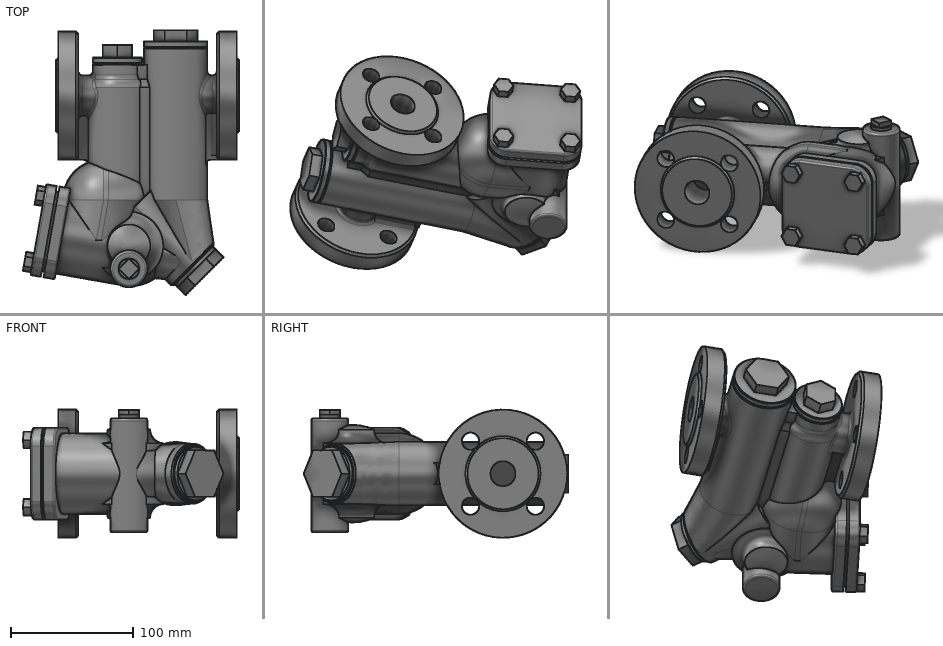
import cadquery as cq
import math

FACE_TO_FACE = 150.0
EMBED = 1.0

FLANGE_DIA = 105.0
FLANGE_THICKNESS = 16.5
FLANGE_EDGE_CHAMFER = 2.0
RAISED_FACE_DIA = 58.0
RAISED_FACE_BASE_DIA = 61.5
RAISED_FACE_HEIGHT = 2.0
BORE_DIA = 20.5
BORE_DEPTH = 35.0
BOLT_HOLE_DIA = 14.0
BOLT_CIRCLE_DIA = 75.0
BOLT_HOLE_COUNT = 4
NOZZLE_RADIUS = 16.8
NOZZLE_FILLET = 3.0

INLET_X = -24.6
INLET_RADIUS = 23.9
INLET_NECK_RADIUS = 20.2
INLET_TOP_Y = 25.2
INLET_NECK_Y = 17.0
INLET_SHOULDER_FILLET_Y = 13.6
INLET_SHOULDER_Y = 6.8
OUTLET_X = 23.0
OUTLET_RADIUS = 26.0
OUTLET_TOP_Y = 38.5
BEND_Y = -85.1

WEB_HALF_HEIGHT = 15.3
WEB_NECK_HALF_HEIGHT = 11.8
WEB_BOTTOM_Y = -82.0
INLET_RIB_HALF_HEIGHT = 3.0
OUTLET_RIB_HALF_HEIGHT = 8.8
RIB_FILLET = 4.0

PLUG_CHAMFER = 0.6
GASKET_HEIGHT = 1.0
INLET_PLUG_COLLAR = 5.1
INLET_PLUG_ACROSS_FLATS = 24.2
INLET_PLUG_HEAD = 10.2
OUTLET_PLUG_COLLAR = 5.2
OUTLET_PLUG_ACROSS_FLATS = 31.2
OUTLET_PLUG_HEAD = 8.87

TILT = math.radians(10)
CHAMBER_X = -13.7
CHAMBER_Y = -122.8
CHAMBER_RADIUS = 33.0
BEND_X = -34.2
BEND_SPREAD = 4.0
COVER_SIZE = 75.5
COVER_CORNER_RADIUS = 15.0
COVER_EDGE_FILLET = 1.5
BODY_FLANGE_START = 56.5
BODY_FLANGE_END = 65.8
COVER_START = 68.0
COVER_END = 76.8
BOLT_HEAD_END = 83.4
GASKET_SIZE = 66.0
BOLT_PITCH = 55.0
BOLT_ACROSS_FLATS = 13.8
BOLT_SHANK_DIA = 8.0

DOME_TOP = 40.0
DOME_RADIUS = 17.5
DOME_FOOT_RADIUS = 28.0
DOME_FOOT_HEIGHT = 25.0

NECK_END_X = 37.7
NECK_END_Y = -138.6
NECK_RADIUS = 24.6
NECK_LENGTH = 68.0
NECK_EDGE_CHAMFER = 1.2
BEND_INSET = 0.2
LINK_RADIUS = 23.4
LINK_LENGTH = 16.0
LINK_END = 8.0
STRAINER_GASKET_RADIUS = 22.0
STRAINER_GASKET_HEIGHT = 2.27
STRAINER_ACROSS_FLATS = 38.0
STRAINER_HEAD = 10.4

POST_X = -15.2
POST_Y = -141.5
POST_RADIUS = 15.2
POST_TOP = 45.4
POST_BOTTOM = -48.1
POST_FILLET = 2.0
POST_PLUG_DIA = 16.8
POST_PLUG_BASE = 2.6
POST_PLUG_HEIGHT = 6.7


def plane_at(x, y, direction):
    """Plane at (x, y, 0) facing `direction` in the XY plane, with its local X along +Z."""
    return cq.Plane(origin=(x, y, 0), xDir=(0, 0, 1), normal=(*direction, 0))


def cylinder(plane, radius, start, end):
    return cq.Workplane(plane).workplane(offset=start).circle(radius).extrude(end - start)


def hexagon(plane, across_flats, start, end, corner_on_z):
    across_corners = across_flats / math.cos(math.radians(30))
    turned = plane if corner_on_z else plane.rotated((0, 0, 30))
    return cq.Workplane(turned).workplane(offset=start).polygon(6, across_corners).extrude(end - start)


UP_THE_COLUMN = (0, 1)
CHAMBER_AXIS = (-math.cos(TILT), math.sin(TILT))
NECK_AXIS = (math.cos(math.pi / 4), -math.sin(math.pi / 4))

INLET_PLANE = plane_at(INLET_X, 0, UP_THE_COLUMN)
OUTLET_PLANE = plane_at(OUTLET_X, 0, UP_THE_COLUMN)
CHAMBER_PLANE = plane_at(CHAMBER_X, CHAMBER_Y, CHAMBER_AXIS)
NECK_PLANE = plane_at(NECK_END_X, NECK_END_Y, NECK_AXIS)
FLANGE_BACK_X = FACE_TO_FACE / 2 - RAISED_FACE_HEIGHT - FLANGE_THICKNESS


def inlet_column():
    """Stepped column turned about its axis, with an S-shaped shoulder below the neck."""
    fillet_share = (INLET_NECK_Y - INLET_SHOULDER_FILLET_Y) / (INLET_NECK_Y - INLET_SHOULDER_Y)
    fillet_radius = INLET_NECK_RADIUS + fillet_share * (INLET_RADIUS - INLET_NECK_RADIUS)
    profile = (
        cq.Workplane("XY")
        .moveTo(0, INLET_TOP_Y)
        .lineTo(INLET_NECK_RADIUS, INLET_TOP_Y)
        .lineTo(INLET_NECK_RADIUS, INLET_NECK_Y)
        .tangentArcPoint((fillet_radius, INLET_SHOULDER_FILLET_Y), relative=False)
        .tangentArcPoint((INLET_RADIUS, INLET_SHOULDER_Y), relative=False)
        .lineTo(INLET_RADIUS, BEND_Y)
        .lineTo(0, BEND_Y)
        .close()
    )
    return profile.revolve(360, (0, 0, 0), (0, 1, 0)).translate((INLET_X, 0, 0))


def outlet_column():
    return cylinder(OUTLET_PLANE, OUTLET_RADIUS, BEND_Y, OUTLET_TOP_Y)


def web():
    """Flat web joining the columns; it thins beside the inlet neck."""
    outline = [
        (WEB_BOTTOM_Y, WEB_HALF_HEIGHT),
        (INLET_SHOULDER_Y, WEB_HALF_HEIGHT),
        (INLET_SHOULDER_FILLET_Y, WEB_NECK_HALF_HEIGHT),
        (INLET_TOP_Y, WEB_NECK_HALF_HEIGHT),
    ]
    mirrored = [(y, -z) for y, z in reversed(outline)]
    slab = cq.Workplane("YZ").polyline(outline + mirrored).close().extrude(OUTLET_X - INLET_X)
    return slab.translate((INLET_X, 0, 0))


def add_nozzle(column, column_x, side):
    """Join a nozzle to the column towards -X or +X (side -1 or +1) and round the junction."""
    nozzle_length = FLANGE_BACK_X - NOZZLE_FILLET - abs(column_x)
    nozzle = cylinder(plane_at(column_x, 0, (side, 0)), NOZZLE_RADIUS, 0, nozzle_length)
    junction_start = column_x + side * INLET_RADIUS / 2
    junction_box = cq.selectors.BoxSelector(
        (junction_start, -NOZZLE_RADIUS, -NOZZLE_RADIUS),
        (column_x + side * (nozzle_length - EMBED), INLET_NECK_Y, NOZZLE_RADIUS),
    )
    return column.union(nozzle).edges(junction_box).edges("%BSPLINE").fillet(NOZZLE_FILLET)


def flange(side):
    """Flange with raised face and a flared collar that meets the nozzle; side is -1 or +1."""
    nozzle_end = FLANGE_BACK_X - NOZZLE_FILLET
    flare_radius = NOZZLE_RADIUS + NOZZLE_FILLET
    flare_middle = (
        nozzle_end + NOZZLE_FILLET * math.sin(math.pi / 4),
        flare_radius - NOZZLE_FILLET * math.cos(math.pi / 4),
    )
    plate_end_x = FLANGE_BACK_X + FLANGE_THICKNESS
    profile = (
        cq.Workplane("XY")
        .moveTo(nozzle_end, 0)
        .lineTo(nozzle_end, NOZZLE_RADIUS)
        .threePointArc(flare_middle, (FLANGE_BACK_X, flare_radius))
        .lineTo(FLANGE_BACK_X, FLANGE_DIA / 2 - FLANGE_EDGE_CHAMFER)
        .lineTo(FLANGE_BACK_X + FLANGE_EDGE_CHAMFER, FLANGE_DIA / 2)
        .lineTo(plate_end_x, FLANGE_DIA / 2)
        .lineTo(plate_end_x, RAISED_FACE_BASE_DIA / 2)
        .lineTo(FACE_TO_FACE / 2, RAISED_FACE_DIA / 2)
        .lineTo(FACE_TO_FACE / 2, 0)
        .close()
    )
    turned = profile.revolve(360, (0, 0, 0), (1, 0, 0))
    holes = (
        cq.Workplane("YZ")
        .polarArray(BOLT_CIRCLE_DIA / 2, 180 / BOLT_HOLE_COUNT, 360, BOLT_HOLE_COUNT)
        .circle(BOLT_HOLE_DIA / 2)
        .extrude(FACE_TO_FACE)
    )
    drilled = turned.cut(holes)
    return drilled if side > 0 else drilled.mirror("YZ")


def bore(side):
    hole = cq.Workplane("YZ").circle(BORE_DIA / 2).extrude(BORE_DEPTH)
    hole = hole.translate((FACE_TO_FACE / 2 - BORE_DEPTH, 0, 0))
    return hole if side > 0 else hole.mirror("YZ")


def rib(column_x, column_radius, half_height, side):
    """Rib from a column to its flange, level with the flange rim and rounded into the column."""
    column_edge = math.sqrt(column_radius**2 - half_height**2)
    start = abs(column_x) + column_edge
    bottom = -FLANGE_DIA / 2
    outline = (
        cq.Workplane("XY")
        .moveTo(abs(column_x), 0)
        .lineTo(FLANGE_BACK_X + EMBED, 0)
        .lineTo(FLANGE_BACK_X + EMBED, bottom)
        .lineTo(start + RIB_FILLET, bottom)
        .radiusArc((start, bottom - RIB_FILLET), -RIB_FILLET)
        .lineTo(abs(column_x), bottom - RIB_FILLET)
        .close()
    )
    plate = outline.extrude(half_height, both=True)
    return plate if side > 0 else plate.mirror("YZ")


def outlet_rib_foot():
    """The thicker outlet rib also spreads with a round into the back of its flange."""
    inner_x = FLANGE_BACK_X - RIB_FILLET
    outer_height = OUTLET_RIB_HALF_HEIGHT + RIB_FILLET
    foot = (
        cq.Workplane("XZ")
        .moveTo(inner_x, -OUTLET_RIB_HALF_HEIGHT)
        .lineTo(inner_x, OUTLET_RIB_HALF_HEIGHT)
        .radiusArc((FLANGE_BACK_X, outer_height), -RIB_FILLET)
        .lineTo(FLANGE_BACK_X, -outer_height)
        .radiusArc((inner_x, -OUTLET_RIB_HALF_HEIGHT), -RIB_FILLET)
        .close()
    )
    rim_y = math.sqrt((FLANGE_DIA / 2 - FLANGE_EDGE_CHAMFER) ** 2 - outer_height**2)
    return foot.extrude(rim_y)


def column_plug(plane, top_y, collar_radius, collar_height, across_flats, head_height, corner_on_z):
    """Screwed plug: recessed gasket, chamfered collar and hexagon head."""
    collar_start = top_y + GASKET_HEIGHT
    collar_end = collar_start + collar_height
    gasket = cylinder(plane, across_flats / 2, top_y - EMBED, collar_start + EMBED)
    collar = cylinder(plane, collar_radius, collar_start, collar_end).edges().chamfer(PLUG_CHAMFER)
    head = hexagon(plane, across_flats, collar_end - EMBED, collar_end + head_height, corner_on_z)
    return gasket.union(collar).union(head)


def elbow():
    """Rounded elbow: half a turned stadium, continued by a slanting leg down to the chamber axis."""
    bend_plane = cq.Plane(origin=(BEND_X, BEND_Y, 0), xDir=(1, 0, 0), normal=(0, -1, 0))
    stadium = cq.Workplane(bend_plane).slot2D(2 * CHAMBER_RADIUS + BEND_SPREAD, 2 * CHAMBER_RADIUS)
    leg_drop = (BEND_Y - CHAMBER_Y + (BEND_X - CHAMBER_X) * math.tan(TILT)) * math.cos(TILT) ** 2
    leg_shift = leg_drop * math.tan(TILT)
    leg = cq.Solid.extrudeLinear(stadium.val(), [], cq.Vector(-leg_shift, -leg_drop, 0))
    half_spread = BEND_SPREAD / 2
    crown = (
        cq.Workplane(bend_plane)
        .moveTo(-half_spread - CHAMBER_RADIUS, 0)
        .radiusArc((-half_spread, CHAMBER_RADIUS), CHAMBER_RADIUS)
        .lineTo(half_spread, CHAMBER_RADIUS)
        .radiusArc((half_spread + CHAMBER_RADIUS, 0), CHAMBER_RADIUS)
        .close()
        .revolve(180, (0, 0, 0), (-1, 0, 0))
    )
    return crown.union(cq.Workplane(leg))


def chamber():
    barrel = cylinder(CHAMBER_PLANE, CHAMBER_RADIUS, 0, BODY_FLANGE_END)
    rounded_end = cq.Workplane("XY").sphere(CHAMBER_RADIUS).translate((CHAMBER_X, CHAMBER_Y, 0))
    return barrel.union(rounded_end)


def dome():
    """Spherical caps above and below the chamber, each spreading into a concave foot."""
    rim_height = math.sqrt(DOME_TOP**2 - DOME_RADIUS**2)
    cap_mid_angle = math.asin(DOME_RADIUS / DOME_TOP) / 2
    cap_middle = (DOME_TOP * math.sin(cap_mid_angle), DOME_TOP * math.cos(cap_mid_angle))
    foot_middle = (
        DOME_FOOT_RADIUS - (DOME_FOOT_RADIUS - DOME_RADIUS) * math.cos(math.pi / 4),
        rim_height - (rim_height - DOME_FOOT_HEIGHT) * math.sin(math.pi / 4),
    )
    profile = (
        cq.Workplane("XZ")
        .moveTo(0, DOME_TOP)
        .threePointArc(cap_middle, (DOME_RADIUS, rim_height))
        .threePointArc(foot_middle, (DOME_FOOT_RADIUS, DOME_FOOT_HEIGHT))
        .lineTo(DOME_FOOT_RADIUS, 0)
        .lineTo(0, 0)
        .close()
    )
    upper = profile.revolve(360, (0, 0, 0), (0, 1, 0))
    return upper.union(upper.mirror("XY")).translate((POST_X, CHAMBER_Y, 0))


def strainer_neck():
    """Neck at 45 degrees, the outlet column's tapered bend into it, and the link to the chamber."""
    neck = cylinder(NECK_PLANE, NECK_RADIUS, -NECK_LENGTH, 0)
    neck = neck.faces(cq.selectors.DirectionMinMaxSelector(NECK_PLANE.zDir)).chamfer(NECK_EDGE_CHAMFER)
    column_end = cq.Workplane(plane_at(OUTLET_X, BEND_Y, (0, -1))).circle(OUTLET_RADIUS).val()
    neck_end_plane = cq.Workplane(NECK_PLANE).workplane(offset=-NECK_EDGE_CHAMFER)
    neck_end = neck_end_plane.circle(NECK_RADIUS - BEND_INSET).val()
    bend = cq.Workplane(cq.Solid.makeLoft([column_end, neck_end], True))
    link = cylinder(CHAMBER_PLANE, LINK_RADIUS, -LINK_LENGTH, 0)
    link_start = cq.Workplane(CHAMBER_PLANE).workplane(offset=-LINK_LENGTH).circle(LINK_RADIUS).val()
    link_end_plane = cq.Workplane(NECK_PLANE).workplane(offset=-LINK_END)
    link_end = link_end_plane.circle(NECK_RADIUS - BEND_INSET).val()
    link_bend = cq.Workplane(cq.Solid.makeLoft([link_start, link_end], True))
    return neck.union(bend).union(link.union(link_bend))


def strainer_plug():
    head_end = STRAINER_GASKET_HEIGHT + STRAINER_HEAD
    gasket = cylinder(NECK_PLANE, STRAINER_GASKET_RADIUS, -EMBED, STRAINER_GASKET_HEIGHT + EMBED)
    head = hexagon(NECK_PLANE, STRAINER_ACROSS_FLATS, STRAINER_GASKET_HEIGHT, head_end, False)
    return gasket.union(head)


def square_plate(size, start, end):
    """Square plate across the chamber axis, its corners concentric with those of the cover."""
    corner_radius = COVER_CORNER_RADIUS - (COVER_SIZE - size) / 2
    outline = cq.Workplane(CHAMBER_PLANE).workplane(offset=start).sketch().rect(size, size)
    return outline.vertices().fillet(corner_radius).finalize().extrude(end - start)


def cover():
    """Body flange, gasket, cover plate and its four hexagon bolts."""
    along_axis = cq.selectors.DirectionMinMaxSelector
    axis = CHAMBER_PLANE.zDir
    body_flange = square_plate(COVER_SIZE, BODY_FLANGE_START, BODY_FLANGE_END)
    body_flange = body_flange.faces(along_axis(axis, False)).edges().fillet(COVER_EDGE_FILLET)
    lid = square_plate(COVER_SIZE, COVER_START, COVER_END)
    lid = lid.faces(along_axis(axis, True)).edges().fillet(COVER_EDGE_FILLET)
    gasket = square_plate(GASKET_SIZE, BODY_FLANGE_END - EMBED, COVER_START + EMBED)
    assembly = body_flange.union(gasket).union(lid)
    half_pitch = BOLT_PITCH / 2
    for across in (-half_pitch, half_pitch):
        for up in (-half_pitch, half_pitch):
            plane = cq.Plane(
                origin=CHAMBER_PLANE.toWorldCoords((up, across, 0)),
                xDir=CHAMBER_PLANE.xDir,
                normal=axis,
            )
            shank = cylinder(plane, BOLT_SHANK_DIA / 2, BODY_FLANGE_START + EMBED, COVER_END)
            head = hexagon(plane, BOLT_ACROSS_FLATS, COVER_END - EMBED, BOLT_HEAD_END, False)
            assembly = assembly.union(shank).union(head)
    return assembly


def valve_post():
    height = POST_TOP - POST_BOTTOM
    post = cq.Workplane("XY").circle(POST_RADIUS).extrude(height).edges().fillet(POST_FILLET)
    square_side = POST_PLUG_DIA / math.sqrt(2)
    plug_base = cq.Workplane("XY").workplane(offset=height - EMBED).circle(POST_PLUG_DIA / 2)
    plug_base = plug_base.extrude(POST_PLUG_BASE + EMBED)
    plug_head = cq.Workplane("XY").workplane(offset=height).rect(square_side, square_side)
    plug_head = plug_head.extrude(POST_PLUG_HEIGHT).rotate((0, 0, 0), (0, 0, 1), 45)
    return post.union(plug_base).union(plug_head).translate((POST_X, POST_Y, POST_BOTTOM))


inlet = add_nozzle(inlet_column(), INLET_X, -1)
outlet = add_nozzle(outlet_column(), OUTLET_X, 1)
result = inlet.union(outlet).union(web()).union(elbow()).union(chamber())
result = result.union(dome()).union(strainer_neck()).union(strainer_plug())
result = result.union(rib(INLET_X, INLET_RADIUS, INLET_RIB_HALF_HEIGHT, -1))
result = result.union(rib(OUTLET_X, OUTLET_RADIUS, OUTLET_RIB_HALF_HEIGHT, 1))
result = result.union(outlet_rib_foot())
for side in (-1, 1):
    result = result.union(flange(side)).cut(bore(side))
result = result.union(
    column_plug(
        INLET_PLANE, INLET_TOP_Y, INLET_NECK_RADIUS, INLET_PLUG_COLLAR,
        INLET_PLUG_ACROSS_FLATS, INLET_PLUG_HEAD, True,
    )
)
result = result.union(
    column_plug(
        OUTLET_PLANE, OUTLET_TOP_Y, OUTLET_RADIUS, OUTLET_PLUG_COLLAR,
        OUTLET_PLUG_ACROSS_FLATS, OUTLET_PLUG_HEAD, False,
    )
)
result = result.union(cover()).union(valve_post()).solids()